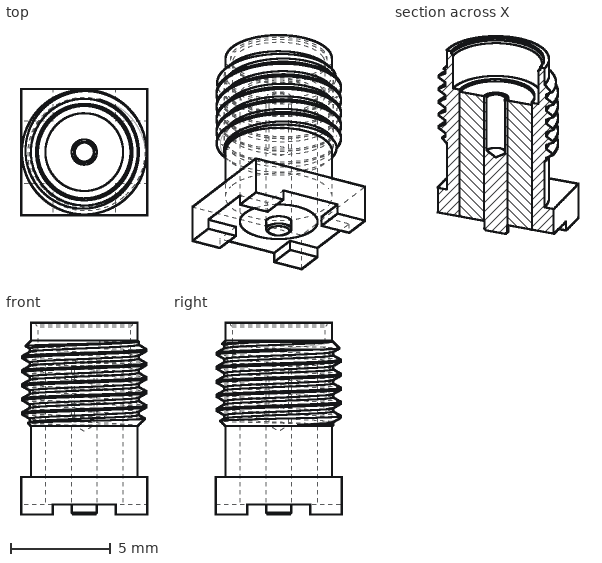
import cadquery as cq
import math

base_width = 6.35
base_top = 1.905
foot_height = 0.508
foot_width = 1.6
slot_width = base_width - 2 * foot_width

total_height = 9.65
barrel_diameter = 5.36

thread_diameter = 6.26
root_diameter = 5.49
thread_bottom = 4.445
thread_length = 4.295
thread_top = thread_bottom + thread_length
inch = 25.4
threads_per_inch = 36
pitch = inch / threads_per_inch
crest_flat = pitch / 8
half_flank_angle = math.radians(30)
groove_center_z = 7.911
groove_runout_turns = 1
groove_clearance = 0.03

mouth_diameter = 4.85
mouth_depth = 0.12
bore_diameter = 4.64
mouth_cone_depth = (mouth_diameter - bore_diameter) / 2
bore_depth = 2.05
shoulder_z = total_height - bore_depth

insulator_diameter = 3.91
insulator_recess = 0.12
insulator_top = shoulder_z - insulator_recess

contact_diameter = 1.27
contact_chamfer = 0.1
socket_diameter = 0.96
socket_mouth_diameter = 1.03
socket_mouth_depth = (socket_mouth_diameter - socket_diameter) / 2
socket_depth = 3.0
drill_half_angle = math.radians(59)


def cylinder(diameter, bottom, top):
    return cq.Workplane("XY").workplane(offset=bottom).circle(diameter / 2).extrude(top - bottom)


def revolved(profile):
    """Turn a closed (radius, z) profile about the Z axis."""
    return cq.Workplane("XZ").polyline(profile).close().revolve(360, (0, 0, 0), (0, 1, 0))


def make_base():
    """Square block whose crossed slots leave a foot at each corner."""
    block = cq.Workplane("XY").rect(base_width, base_width).extrude(base_top)
    slot_x = cq.Workplane("XY").rect(base_width, slot_width).extrude(foot_height)
    slot_y = cq.Workplane("XY").rect(slot_width, base_width).extrude(foot_height)
    return block.cut(slot_x).cut(slot_y)


def make_thread_groove():
    """Right-handed helical cutter, running out past both ends of the thread."""
    root_radius = root_diameter / 2
    outer_radius = thread_diameter / 2 + groove_clearance
    flank_width = (thread_diameter - root_diameter) / 2 * math.tan(half_flank_angle)
    root_half_width = (pitch - crest_flat) / 2 - flank_width
    outer_half_width = root_half_width + (outer_radius - root_radius) * math.tan(half_flank_angle)

    turns_below = math.ceil((groove_center_z - thread_bottom) / pitch) + groove_runout_turns
    start_z = groove_center_z - turns_below * pitch
    turns = turns_below + math.ceil((thread_top - groove_center_z) / pitch) + groove_runout_turns

    helix = cq.Workplane(cq.Wire.makeHelix(pitch, turns * pitch, root_radius))
    profile = [
        (root_radius, -root_half_width),
        (outer_radius, -outer_half_width),
        (outer_radius, outer_half_width),
        (root_radius, root_half_width),
    ]
    groove = cq.Workplane("XZ").polyline(profile).close().sweep(helix, isFrenet=True)
    return groove.translate((0, 0, start_z))


def make_thread():
    """Grooved cylinder trimmed to a blank with chamfered ends."""
    chamfer = (thread_diameter - barrel_diameter) / 2
    blank = cylinder(thread_diameter, thread_bottom, thread_top)
    envelope = blank.edges("%CIRCLE").chamfer(chamfer)
    return blank.cut(make_thread_groove()).intersect(envelope)


def make_bore():
    """Stepped through-hole: mating bore with a wider mouth, then the insulator seat."""
    cone_top = total_height - mouth_depth
    cone_bottom = cone_top - mouth_cone_depth
    return revolved([
        (0, foot_height),
        (insulator_diameter / 2, foot_height),
        (insulator_diameter / 2, shoulder_z),
        (bore_diameter / 2, shoulder_z),
        (bore_diameter / 2, cone_bottom),
        (mouth_diameter / 2, cone_top),
        (mouth_diameter / 2, total_height),
        (0, total_height),
    ])


def make_housing():
    barrel = cylinder(barrel_diameter, base_top, total_height)
    return make_base().union(barrel).union(make_thread()).cut(make_bore())


def make_insulator():
    body = cylinder(insulator_diameter, foot_height, insulator_top)
    return body.cut(cylinder(contact_diameter, foot_height, insulator_top))


def make_contact():
    """Pin with a chamfered tail and a drilled socket in its top end."""
    contact_radius = contact_diameter / 2
    socket_radius = socket_diameter / 2
    socket_bottom = insulator_top - socket_depth
    drill_tip = socket_bottom - socket_radius / math.tan(drill_half_angle)
    return revolved([
        (0, 0),
        (contact_radius - contact_chamfer, 0),
        (contact_radius, contact_chamfer),
        (contact_radius, insulator_top),
        (socket_mouth_diameter / 2, insulator_top),
        (socket_radius, insulator_top - socket_mouth_depth),
        (socket_radius, socket_bottom),
        (0, drill_tip),
    ])


housing = make_housing()
insulator = make_insulator()
contact = make_contact()

result = cq.Compound.makeCompound([housing.val(), insulator.val(), contact.val()])